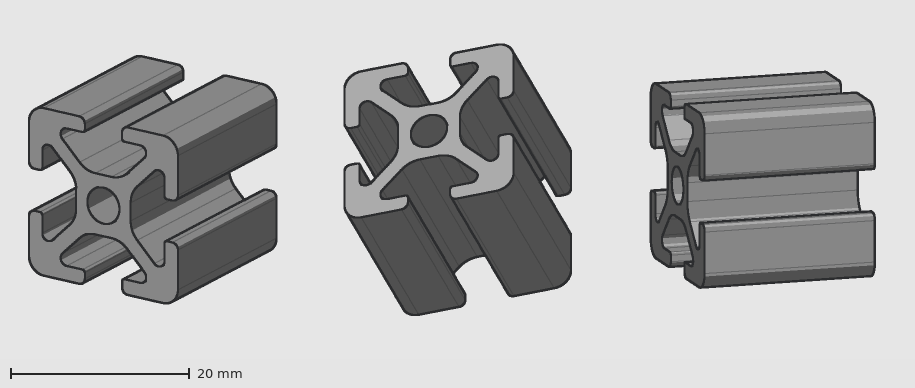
import cadquery as cq
import math

size = 20.0
length = 20.0
corner_radius = 2.0
bore_diameter = 4.3

slot_opening = 5.0
lip_thickness = 1.8
lip_outer_radius = 0.75
lip_inner_radius = 0.3
core_half_width = 3.65
web_face_angle = 45.0
cavity_half_width = 5.74
cavity_end_radius = 0.8
floor_radius = 3.0

corner_tolerance = 1e-3

half_size = size / 2
half_opening = slot_opening / 2
lip_inner_z = half_size - lip_thickness

angle = math.radians(web_face_angle)
cavity_center_x = cavity_half_width - cavity_end_radius
cavity_center_z = lip_inner_z - cavity_end_radius
web_touch_x = cavity_center_x + cavity_end_radius * math.sin(angle)
web_touch_z = cavity_center_z - cavity_end_radius * math.cos(angle)


def web_face_x(z):
    """X position of the slanted web face at height z."""
    return web_touch_x + (z - web_touch_z) / math.tan(angle)


floor_corner_x = web_face_x(core_half_width)
cavity_corner_x = web_face_x(lip_inner_z)


def at_corners(solid, corners):
    """Edges along Y that pass through the given (x, z) corners."""
    edges = solid.edges("|Y").vals()
    return [
        edge
        for edge in edges
        for x, z in corners
        if math.hypot(edge.Center().x - x, edge.Center().z - z) < corner_tolerance
    ]


def round_corners(solid, corners, radius):
    """Fillet the edges along Y at the given (x, z) corners."""
    return solid.newObject(at_corners(solid, corners)).fillet(radius)


def mirrored(x, z):
    """A corner of the +Z slot and its mirror image across the YZ plane."""
    return [(x, z), (-x, z)]


def on_four_sides(corners):
    """Copy (x, z) corners of the +Z slot to all four slots."""
    return [
        turned
        for x, z in corners
        for turned in ((x, z), (z, -x), (-x, -z), (-z, x))
    ]


def extrude_along_y(sketch):
    """Extrude an XZ sketch over the full length, centered on Y = 0."""
    return sketch.extrude(length / 2, both=True)


def make_slot():
    """Cutter for the +Z slot, with rounded floor and cavity ends."""
    right_side = [
        (floor_corner_x, core_half_width),
        (cavity_corner_x, lip_inner_z),
        (half_opening, lip_inner_z),
        (half_opening, half_size),
    ]
    left_side = [(-x, z) for x, z in reversed(right_side)]
    slot = extrude_along_y(cq.Workplane("XZ").polyline(right_side + left_side).close())
    slot = round_corners(slot, mirrored(floor_corner_x, core_half_width), floor_radius)
    return round_corners(slot, mirrored(cavity_corner_x, lip_inner_z), cavity_end_radius)


def make_extrusion():
    """Square bar with a center bore, four T-slots and rounded lips."""
    body = extrude_along_y(cq.Workplane("XZ").rect(size, size))
    body = body.edges("|Y").fillet(corner_radius)
    body = body.cut(extrude_along_y(cq.Workplane("XZ").circle(bore_diameter / 2)))

    slot = make_slot()
    for turn in (0, 90, 180, 270):
        body = body.cut(slot.rotate((0, 0, 0), (0, 1, 0), turn))

    lip_outer_corners = on_four_sides(mirrored(half_opening, half_size))
    lip_inner_corners = on_four_sides(mirrored(half_opening, lip_inner_z))
    body = round_corners(body, lip_outer_corners, lip_outer_radius)
    return round_corners(body, lip_inner_corners, lip_inner_radius)


result = make_extrusion()